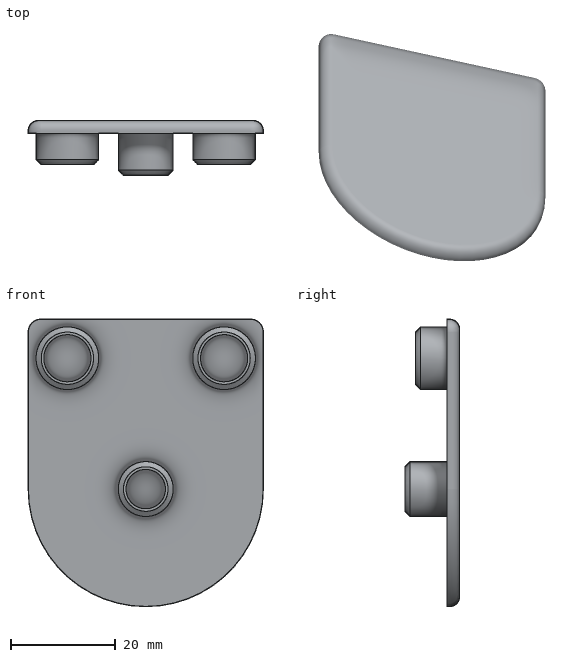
import cadquery as cq

plate_height = 55.0
plate_width = 45.0
plate_thickness = 2.5
corner_radius = 2.5
back_fillet = 2.0

tube_wall = 1.5
tube_chamfer = 1.0
upper_tube_diameter = 12.0
upper_tube_length = 6.0
upper_tube_spacing = 30.0
upper_tube_drop = 7.5
lower_tube_diameter = 10.5
lower_tube_length = 8.05

end_radius = plate_width / 2
top_z = plate_height - end_radius
upper_tube_x = upper_tube_spacing / 2
upper_tube_z = top_z - upper_tube_drop


def make_plate():
    """Plate with a semicircular lower end and a rounded rear rim."""
    plate = (
        cq.Workplane("XZ")
        .moveTo(-end_radius, 0)
        .lineTo(-end_radius, top_z)
        .lineTo(end_radius, top_z)
        .lineTo(end_radius, 0)
        .threePointArc((0, -end_radius), (-end_radius, 0))
        .close()
        .extrude(-plate_thickness)
    )
    plate = plate.edges("|Y and >Z").fillet(corner_radius)
    return plate.faces(">Y").edges().fillet(back_fillet)


def make_tube(x, z, diameter, length):
    """Open tube rising from the front face, chamfered around its outer tip."""
    tube = cq.Workplane("XZ").center(x, z).circle(diameter / 2).extrude(length)
    tube = tube.faces("<Y").edges().chamfer(tube_chamfer)
    bore_radius = diameter / 2 - tube_wall
    bore = cq.Workplane("XZ").center(x, z).circle(bore_radius).extrude(length)
    return tube.cut(bore)


result = make_plate()
for side in (-1, 1):
    upper_tube = make_tube(side * upper_tube_x, upper_tube_z, upper_tube_diameter, upper_tube_length)
    result = result.union(upper_tube)
result = result.union(make_tube(0, 0, lower_tube_diameter, lower_tube_length))